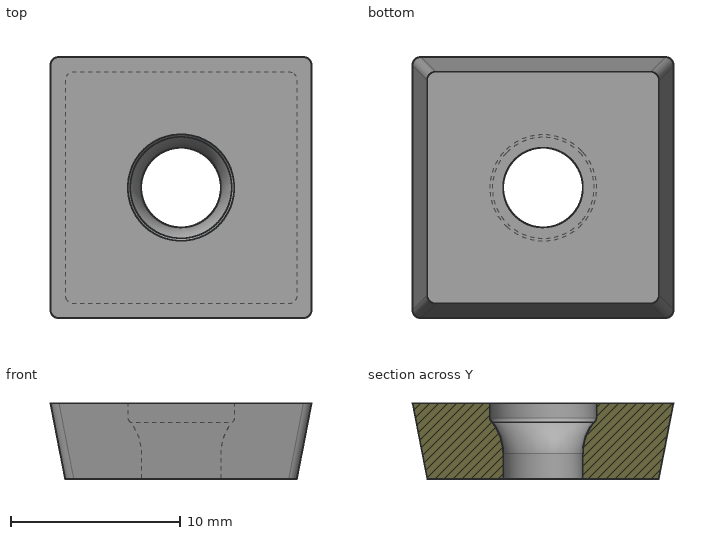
import cadquery as cq
import math

top_width = 15.45
thickness = 4.5
relief_angle = 11.0
corner_radius = 0.5

bore_diameter = 4.7
recess_diameter = 6.3
recess_depth = 0.87
floor_radius = 0.3
floor_sweep = 60.0
seat_height = 1.85


def rounded_square(width):
    """Square outline centred on Z, with rounded corners."""
    return cq.Sketch().rect(width, width).vertices().fillet(corner_radius)


def make_body():
    """Tapered square plate with rounded upright corners; top face at z = thickness."""
    bottom_width = top_width - 2 * thickness * math.tan(math.radians(relief_angle))
    top_outline = rounded_square(top_width).moved(cq.Location(cq.Vector(0, 0, thickness)))
    return cq.Workplane("XY").placeSketch(rounded_square(bottom_width), top_outline).loft(ruled=True)


def make_screw_hole():
    """Revolved cutter; the convex seat runs tangent into the bore."""
    bore_radius = bore_diameter / 2
    recess_radius = recess_diameter / 2
    sweep = math.radians(floor_sweep)
    seat_top_radius = recess_radius - floor_radius * (1 - math.cos(sweep))
    wall_bottom = thickness - recess_depth
    seat_top = wall_bottom - floor_radius * math.sin(sweep)
    seat_bottom = seat_top - seat_height
    return (
        cq.Workplane("XZ")
        .lineTo(bore_radius, 0)
        .lineTo(bore_radius, seat_bottom)
        .tangentArcPoint((seat_top_radius, seat_top), relative=False)
        .radiusArc((recess_radius, wall_bottom), -floor_radius)
        .lineTo(recess_radius, thickness)
        .lineTo(0, thickness)
        .close()
        .revolve(360, (0, 0, 0), (0, 1, 0))
    )


result = make_body().cut(make_screw_hole())